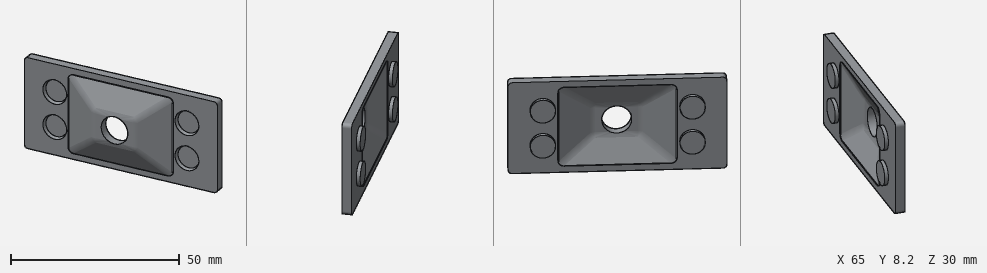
import cadquery as cq

plate_width = 65.0
plate_height = 30.0
plate_thickness = 3.0
plate_corner_radius = 1.25

pad_width = 35.5
pad_height = 26.0
pad_rise = 0.2
pad_corner_radius = 1.95

hood_rise = 4.0
hood_base_width = 34.7
hood_base_height = 25.75
hood_top_width = 14.05
hood_top_height = 9.9
hood_edge_radius = 3.9

hole_diameter = 8.9

stud_spacing_x = 44.45
stud_spacing_z = 11.6
stud_diameter = 7.55
stud_rise = 1.2
dimple_mouth_diameter = 8.0
dimple_floor_diameter = 7.2
dimple_depth = stud_rise


def front_plane(y):
    """Sketch plane parallel to the plate, X right and Z up, facing -Y."""
    return cq.Workplane("XZ", origin=(0, y, 0))


def make_plate():
    plate = front_plane(plate_thickness).rect(plate_width, plate_height).extrude(plate_thickness)
    return plate.edges("|Y").fillet(plate_corner_radius)


def make_pad():
    pad = front_plane(0).rect(pad_width, pad_height).extrude(pad_rise)
    return pad.edges("|Y").fillet(pad_corner_radius)


def make_hood():
    hood = (
        front_plane(-pad_rise)
        .rect(hood_base_width, hood_base_height)
        .workplane(offset=hood_rise - pad_rise)
        .rect(hood_top_width, hood_top_height)
        .loft(ruled=True)
    )
    return hood.edges("not >Y").fillet(hood_edge_radius)


def make_studs():
    return (
        front_plane(plate_thickness + stud_rise)
        .rect(stud_spacing_x, stud_spacing_z, forConstruction=True)
        .vertices()
        .circle(stud_diameter / 2)
        .extrude(stud_rise)
    )


def make_dimples():
    dimple = cq.Solid.makeCone(
        dimple_mouth_diameter / 2,
        dimple_floor_diameter / 2,
        dimple_depth,
        dir=cq.Vector(0, 0, -1),
    )
    return (
        front_plane(0)
        .rect(stud_spacing_x, stud_spacing_z, forConstruction=True)
        .vertices()
        .eachpoint(lambda place: dimple.moved(place), useLocalCoordinates=True)
    )


def make_hole():
    length = plate_thickness + hood_rise
    return front_plane(plate_thickness).circle(hole_diameter / 2).extrude(length)


embossing = make_pad().union(make_hood())
hollow = embossing.translate((0, plate_thickness, 0))
plate = make_plate().union(make_studs())
result = plate.union(embossing).cut(hollow).cut(make_dimples()).cut(make_hole())